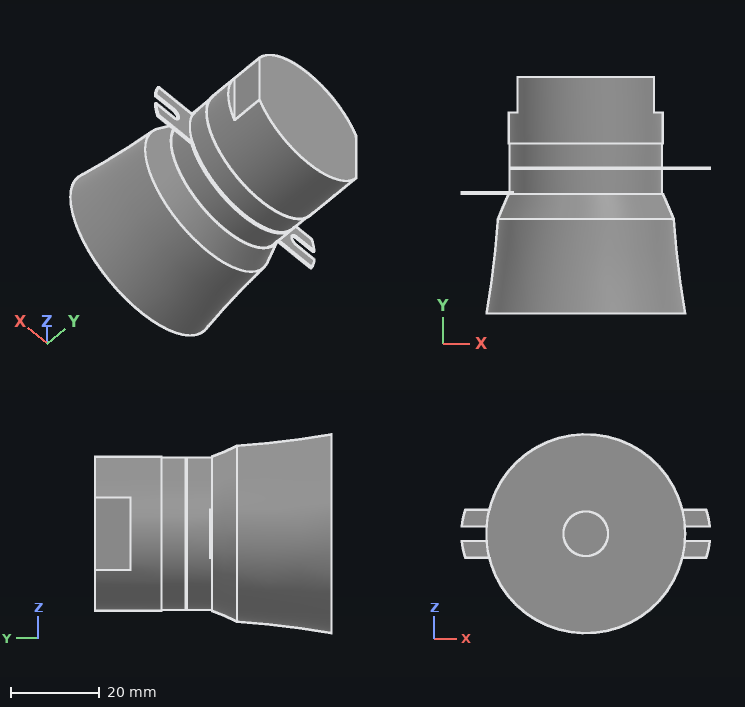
import cadquery as cq
import math

face_radius = 22.5
flare_top_radius = 19.9
mass_radius = 17.45
ring_radius = 17.3
recessed_electrode_radius = 17.15
flare_bow = 0.3

flare_top = 21.35
cone_top = 27.1
upper_electrode = 32.65
ring_top = 38.5
overall_height = 53.5

bore_radius = 5.05
bore_depth = flare_top

flat_half_width = 15.4
flat_length = 8.0

electrode_thickness = 0.4
tab_reach = 28.05
tab_half_width = 5.45
tab_end_radius = 16.8
slot_half_width = 1.6
slot_bottom = 20.75


def disc(radius, start, height):
    """Cylinder about Y that starts at the given height."""
    return cq.Workplane("XZ", origin=(0, start, 0)).circle(radius).extrude(-height)


def front_mass():
    """Flared horn and the cone behind it, with the stud bore."""
    flare_middle = ((face_radius + flare_top_radius) / 2 - flare_bow, flare_top / 2)
    body = (
        cq.Workplane("XY")
        .lineTo(face_radius, 0)
        .threePointArc(flare_middle, (flare_top_radius, flare_top))
        .lineTo(mass_radius, cone_top)
        .lineTo(0, cone_top)
        .close()
        .revolve(360, (0, 0, 0), (0, 1, 0))
    )
    return body.cut(disc(bore_radius, 0, bore_depth))


def back_mass():
    """Cylinder with two opposite flats at its free end."""
    body = disc(mass_radius, ring_top, overall_height - ring_top)
    flat_depth = mass_radius - flat_half_width
    for side in (-1, 1):
        flat = cq.Workplane("XY").box(flat_depth, flat_length, 2 * mass_radius)
        flat_x = side * (flat_half_width + flat_depth / 2)
        body = body.cut(flat.translate((flat_x, overall_height - flat_length / 2, 0)))
    return body


def electrode(start, side, radius):
    """Thin disc with a forked terminal pointing along X to the given side."""
    end_centre = tab_reach - math.sqrt(tab_end_radius**2 - slot_half_width**2)
    corner_x = end_centre + math.sqrt(tab_end_radius**2 - tab_half_width**2)
    slot_centre = slot_bottom + slot_half_width
    end_x = end_centre + tab_end_radius
    plane = cq.Workplane("XZ", origin=(0, start, 0))
    tab = (
        plane.moveTo(0, -tab_half_width)
        .lineTo(side * corner_x, -tab_half_width)
        .threePointArc((side * end_x, 0), (side * corner_x, tab_half_width))
        .lineTo(0, tab_half_width)
        .close()
        .extrude(-electrode_thickness)
    )
    slot = (
        plane.moveTo(side * end_x, -slot_half_width)
        .lineTo(side * slot_centre, -slot_half_width)
        .threePointArc((side * slot_bottom, 0), (side * slot_centre, slot_half_width))
        .lineTo(side * end_x, slot_half_width)
        .close()
        .extrude(-electrode_thickness)
    )
    return disc(radius, start, electrode_thickness).union(tab).cut(slot)


def ceramic_ring(start, end):
    return disc(ring_radius, start, end - start)


lower_electrode = cone_top
result = (
    front_mass()
    .union(electrode(lower_electrode, -1, ring_radius))
    .union(ceramic_ring(lower_electrode + electrode_thickness, upper_electrode))
    .union(electrode(upper_electrode, 1, recessed_electrode_radius))
    .union(ceramic_ring(upper_electrode + electrode_thickness, ring_top))
    .union(back_mass())
    .clean()
)